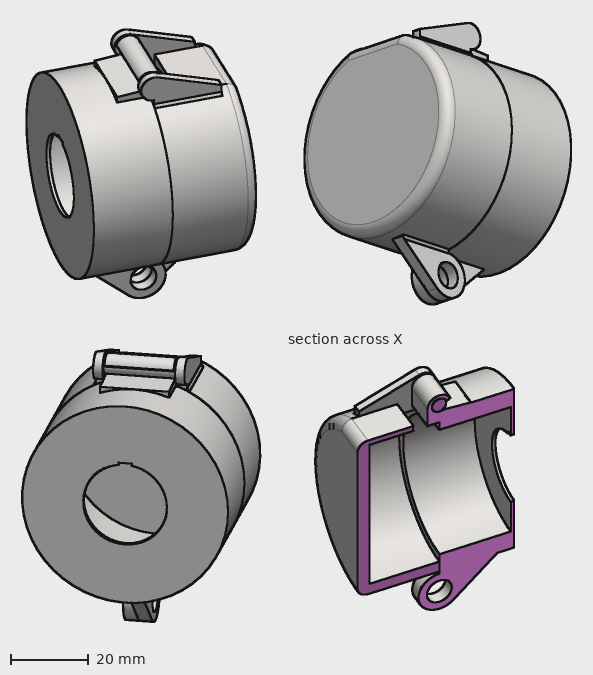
import cadquery as cq
import math

outer_radius = 27.0
front_length = 21.4
cover_length = 23.45
cover_round = 3.0
front_cavity_radius = 21.05
front_wall = 1.0
cover_cavity_radius = 23.5
cover_wall = 3.5

opening_radius = 10.95
notch_width = 3.5
notch_top = 11.4

flat_half_width = 9.5
flat_height = math.sqrt(outer_radius**2 - flat_half_width**2)
window_length = 7.4

latch_height = 29.5
pin_radius = 2.0
arm_radius = 3.5
arm_outer_x = 12.0
arm_length = 18.4
arm_rear_height = 26.85
arm_base_height = 23.95
arm_foot_x = 12.55
arm_foot_height = 24.8
hook_radius = 3.4
hook_half_width = 9.1
tongue_length = 9.0
tongue_tip_height = 27.1
tongue_root_height = 27.7
hook_base_height = 23.6
mouth_outer_height = 30.7
mouth_inner_height = 30.0

lug_height = -33.6
lug_radius = 6.0
lug_hole_radius = 3.5
lug_width = 3.6
lug_reach = 16.55
lug_root_height = -26.1
lug_foot_width = 0.4
lug_foot_height = -27.65


def cylinder_y(radius, y_start, y_end):
    return cq.Workplane("XZ", origin=(0, y_start, 0)).circle(radius).extrude(y_start - y_end)


def box(x_start, x_end, y_start, y_end, z_start, z_end):
    size = (x_end - x_start, y_end - y_start, z_end - z_start)
    return cq.Workplane("XY").box(*size, centered=False).translate((x_start, y_start, z_start))


def side_profile(points, x_start, x_end):
    """Extrude a (Y, Z) outline along X."""
    plane = cq.Workplane("YZ", origin=(x_start, 0, 0))
    return plane.polyline(points).close().extrude(x_end - x_start)


def cylinder_x(radius, height, x_start, x_end):
    plane = cq.Workplane("YZ", origin=(x_start, 0, 0))
    return plane.center(0, height).circle(radius).extrude(x_end - x_start)


def tangent_point(point, center_z, radius, side):
    """Where a line from a (Y, Z) point touches a circle centred at (0, center_z)."""
    dy = point[0]
    dz = point[1] - center_z
    angle = math.atan2(dz, dy) + side * math.acos(radius / math.hypot(dy, dz))
    return (radius * math.cos(angle), center_z + radius * math.sin(angle))


def make_lug():
    """Cover lug at X < 0, with a sloped foot along its outer side."""
    corner = (lug_reach, -outer_radius)
    touch = tangent_point(corner, lug_height, lug_radius, -1)
    outline = [(0, lug_root_height), (lug_reach, lug_root_height), corner, touch, (0, lug_height)]
    lug = side_profile(outline, -lug_width, 0)
    lug = lug.union(cylinder_x(lug_radius, lug_height, -lug_width, 0))
    foot_points = [
        (-lug_width, lug_root_height),
        (-lug_width - lug_foot_width, lug_root_height),
        (-lug_width - lug_foot_width, -math.sqrt(outer_radius**2 - (lug_width + lug_foot_width) ** 2)),
        (-lug_width, lug_foot_height),
    ]
    foot = cq.Workplane("XZ").polyline(foot_points).close().extrude(-lug_reach)
    foot = foot.intersect(side_profile(outline, -lug_width - lug_foot_width, -lug_width))
    hole = cylinder_x(lug_hole_radius, lug_height, -lug_width, 0)
    return lug.union(foot).cut(hole)


def make_arm():
    """Latch arm of the cover at X > 0, with a sloped foot along its outer side."""
    rear_corner = (arm_length, arm_rear_height)
    touch = tangent_point(rear_corner, latch_height, arm_radius, 1)
    outline = [(0, arm_base_height), (arm_length, arm_base_height), rear_corner, touch, (0, latch_height)]
    arm = side_profile(outline, flat_half_width, arm_outer_x)
    arm = arm.union(cylinder_x(arm_radius, latch_height, flat_half_width, arm_outer_x))
    foot_edge_z = math.sqrt(outer_radius**2 - arm_foot_x**2)
    foot_points = [
        (flat_half_width, foot_edge_z),
        (arm_foot_x, foot_edge_z),
        (arm_outer_x, arm_foot_height),
        (flat_half_width, arm_foot_height),
    ]
    foot = cq.Workplane("XZ").polyline(foot_points).close().extrude(-arm_length)
    return arm.union(foot)


def make_hook():
    """Tongue and snap hook, open toward -Y, that grips the latch pin."""
    half = hook_half_width
    hook = cylinder_x(hook_radius, latch_height, -half, half)
    tongue = [
        (-tongue_length, hook_base_height),
        (-tongue_length, tongue_tip_height),
        (0, tongue_root_height),
        (0, hook_base_height),
    ]
    mouth_outer_y = -math.sqrt(hook_radius**2 - (mouth_outer_height - latch_height) ** 2)
    mouth_inner_y = -math.sqrt(pin_radius**2 - (mouth_inner_height - latch_height) ** 2)
    mouth = [
        (0, tongue_root_height),
        (-tongue_length, tongue_tip_height),
        (-tongue_length, mouth_outer_height),
        (mouth_outer_y, mouth_outer_height),
        (mouth_inner_y, mouth_inner_height),
        (0, latch_height),
    ]
    hook = hook.union(side_profile(tongue, -half, half))
    hook = hook.union(box(-half, half, 0, hook_radius, hook_base_height, latch_height))
    hook = hook.cut(side_profile(mouth, -half, half))
    return hook.cut(cylinder_x(pin_radius, latch_height, -half, half))


def make_front_body():
    body = cylinder_y(outer_radius, -front_length, 0).union(make_hook())
    body = body.cut(cylinder_y(front_cavity_radius, front_wall - front_length, 0))
    body = body.cut(cylinder_y(opening_radius, -front_length, 0))
    notch_half = notch_width / 2
    body = body.cut(box(-notch_half, notch_half, -front_length, front_wall - front_length, 0, notch_top))
    return body.union(make_lug().rotate((0, 0, 0), (0, 0, 1), 180))


def make_cover():
    cover = cylinder_y(outer_radius, 0, cover_length)
    half = flat_half_width
    cover = cover.cut(box(-half, half, 0, cover_length, flat_height, outer_radius))
    cover = cover.faces(">Y").edges().fillet(cover_round)
    arm = make_arm()
    cover = cover.union(arm).union(arm.mirror("YZ"))
    cover = cover.cut(cylinder_y(cover_cavity_radius, 0, cover_length - cover_wall))
    cover = cover.cut(box(-half, half, 0, window_length, 0, outer_radius))
    cover = cover.union(cylinder_x(pin_radius, latch_height, -half, half))
    return cover.union(make_lug())


front_body = make_front_body()
cover = make_cover()
result = cq.Compound.makeCompound([front_body.val(), cover.val()])